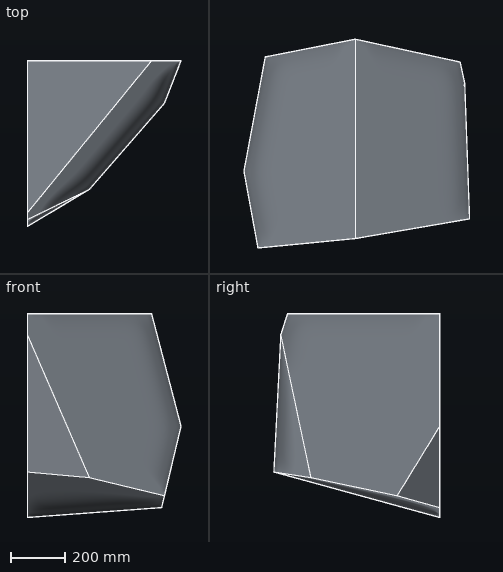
import cadquery as cq


width = 566.91
depth = 611.77
height = 751.77

top_edge_length = 458.2
shoulder_drop = 415.0
foot_x = 495.3
foot_drop = 715.2

top_edge_depth = 561.2
left_upper_depth = 586.0
left_upper_drop = 77.5
left_lower_drop = 583.8

front_x = 227.6
front_depth = 475.6
front_drop = 604.5

top_back_left = (0, 0, 0)
top_back_right = (top_edge_length, 0, 0)
shoulder = (width, 0, -shoulder_drop)
foot = (foot_x, 0, -foot_drop)
bottom_back_left = (0, 0, -height)
top_front_left = (0, -top_edge_depth, 0)
left_upper = (0, -left_upper_depth, -left_upper_drop)
left_lower = (0, -depth, -left_lower_drop)
front_corner = (front_x, -front_depth, -front_drop)

inside_point = cq.Vector(width / 4, -depth / 4, -height / 2)
cutter_size = 4 * max(width, depth, height)


def back_profile_prism():
    """Back-face outline extruded forward over the full depth."""
    corners = [top_back_left, top_back_right, shoulder, foot, bottom_back_left]
    outline = [(x, z) for x, _, z in corners]
    return cq.Workplane("XZ").polyline(outline).close().extrude(depth)


def material_beyond(point_a, point_b, point_c):
    """Large block filling the outer side of the plane through three points."""
    start = cq.Vector(*point_a)
    along = cq.Vector(*point_b) - start
    outward = along.cross(cq.Vector(*point_c) - start)
    if outward.dot(inside_point - start) > 0:
        outward = outward * -1
    plane = cq.Plane(origin=start, xDir=along, normal=outward)
    return cq.Workplane(plane).rect(cutter_size, cutter_size).extrude(cutter_size)


facet_planes = [
    (top_back_right, top_front_left, shoulder),
    (left_upper, left_lower, front_corner),
    (bottom_back_left, left_lower, foot),
]

result = back_profile_prism()
for facet in facet_planes:
    result = result.cut(material_beyond(*facet))